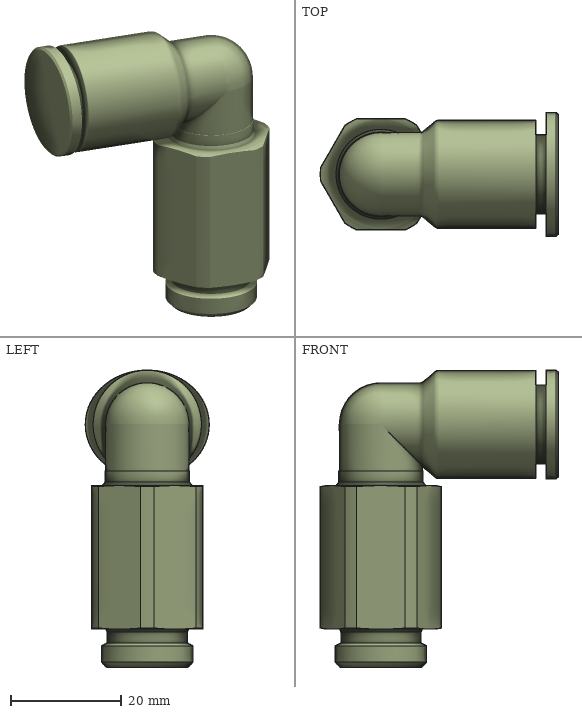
import cadquery as cq
import math

total_height = 54.0
total_length = 43.2

sleeve_radius = 9.85
sleeve_end_x = 28.15
sleeve_end_round = 0.15
sleeve_cone_start_x = 7.4
sleeve_cone_angle = 40
cone_inner_round = 0.7
cone_outer_round = 1.1

button_neck_radius = 7.2
flange_width = 22.5
flange_height = 19.75
flange_start_x = 29.95
flange_chamfer = 0.4

elbow_radius = 7.55
elbow_center_z = total_height - flange_height / 2

hex_across_flats = 20.2
hex_corner_radius = 11.0
hex_bottom_z = 6.95
hex_top_z = 33.05
hex_face_radius = 9.95
hex_chamfer_height = 0.2

collar_top_z = 35.7
collar_radius = 7.65
collar_foot_radius = 8.15
collar_foot_height = 0.6

thread_radius = 8.3
thread_top_z = 3.95
thread_chamfer = 0.95
shoulder_height = 0.55
relief_radius = 7.3
relief_flare = 0.2
relief_flare_height = 0.55

flange_end_x = total_length - hex_corner_radius


def revolve_on_z(profile):
    """Turn a list of (radius, z) points about the Z axis."""
    return cq.Workplane("XZ").polyline(profile).close().revolve(360, (0, 0, 0), (0, 1, 0))


def make_threaded_end():
    return revolve_on_z([
        (0, 0),
        (thread_radius - thread_chamfer, 0),
        (thread_radius, thread_chamfer),
        (thread_radius, thread_top_z),
        (relief_radius, thread_top_z + shoulder_height),
        (relief_radius, hex_bottom_z - relief_flare_height),
        (relief_radius + relief_flare, hex_bottom_z),
        (0, hex_bottom_z),
    ])


def make_hex_body():
    corner_diameter = hex_across_flats / math.cos(math.radians(30))
    prism = (
        cq.Workplane("XY")
        .workplane(offset=hex_bottom_z)
        .polygon(6, corner_diameter)
        .extrude(hex_top_z - hex_bottom_z)
    )
    blank = revolve_on_z([
        (0, hex_bottom_z),
        (hex_face_radius, hex_bottom_z),
        (hex_corner_radius, hex_bottom_z + hex_chamfer_height),
        (hex_corner_radius, hex_top_z - hex_chamfer_height),
        (hex_face_radius, hex_top_z),
        (0, hex_top_z),
    ])
    return prism.intersect(blank)


def make_collar():
    return revolve_on_z([
        (0, hex_top_z),
        (collar_foot_radius, hex_top_z),
        (collar_radius, hex_top_z + collar_foot_height),
        (collar_radius, collar_top_z),
        (0, collar_top_z),
    ])


def make_elbow():
    upright = (
        cq.Workplane("XY")
        .workplane(offset=collar_top_z)
        .circle(elbow_radius)
        .extrude(elbow_center_z - collar_top_z)
    )
    ball = cq.Workplane("XY").sphere(elbow_radius).translate((0, 0, elbow_center_z))
    return upright.union(ball)


def make_sleeve():
    cone_length = (sleeve_radius - elbow_radius) / math.tan(math.radians(sleeve_cone_angle))
    cone_end_x = sleeve_cone_start_x + cone_length
    sleeve = (
        cq.Workplane("XY")
        .polyline([
            (0, 0),
            (0, elbow_radius),
            (sleeve_cone_start_x, elbow_radius),
            (cone_end_x, sleeve_radius),
            (sleeve_end_x, sleeve_radius),
            (sleeve_end_x, 0),
        ])
        .close()
        .revolve(360, (0, 0, 0), (1, 0, 0))
    )
    sleeve = sleeve.faces(">X").edges().fillet(sleeve_end_round)
    for edge_x, round_radius in (
        (sleeve_cone_start_x, cone_inner_round),
        (cone_end_x, cone_outer_round),
    ):
        edge = cq.selectors.NearestToPointSelector((edge_x, 0, 0))
        sleeve = sleeve.edges("%CIRCLE").edges(edge).fillet(round_radius)
    return sleeve.translate((0, 0, elbow_center_z))


def make_button():
    neck = (
        cq.Workplane("YZ")
        .workplane(offset=sleeve_end_x)
        .circle(button_neck_radius)
        .extrude(flange_start_x - sleeve_end_x)
    )
    flange = (
        cq.Workplane("YZ")
        .workplane(offset=flange_start_x)
        .ellipse(flange_width / 2, flange_height / 2)
        .extrude(flange_end_x - flange_start_x)
        .faces(">X")
        .edges()
        .chamfer(flange_chamfer)
    )
    return neck.union(flange).translate((0, 0, elbow_center_z))


result = (
    make_threaded_end()
    .union(make_hex_body())
    .union(make_collar())
    .union(make_elbow())
    .union(make_sleeve())
    .union(make_button())
)